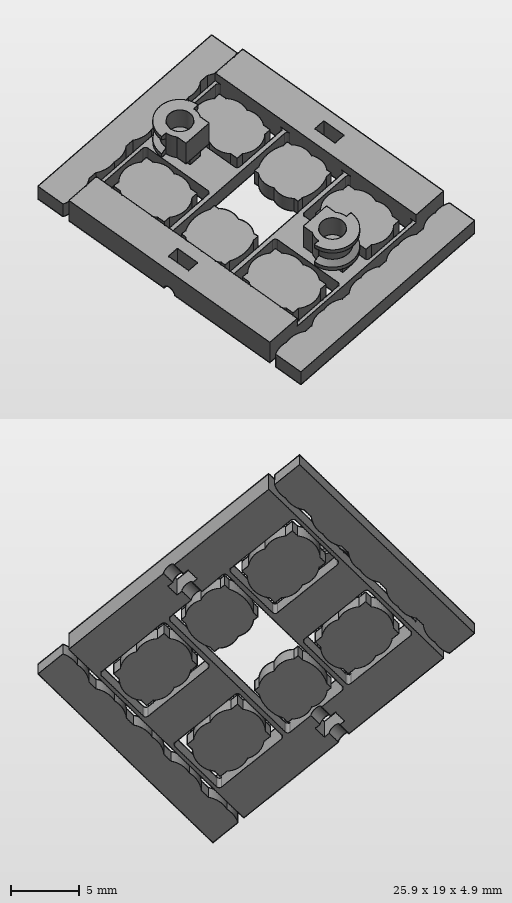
import cadquery as cq

overall_length = 25.88
overall_width = 19.0
overall_height = 4.9

frame_length = 19.77
plate_height = 1.5
rail_height = 2.4
rail_inner_y = 6.5
window_corner_radius = 0.25
end_wall = 0.28
bridge_half_width = 1.48
web_inner_x = 2.82
web_thickness = 0.35
slot_length = 2.0
slot_width = 0.98
slot_y = (rail_inner_y + overall_width / 2) / 2
groove_radius = 0.52

hook_x = 7.5
flange_radius = 2.0
core_radius = 1.5
back_radius = 1.53
flange_rim = 0.4
flange_taper = 0.3
spool_bottom = 2.45
hook_hole_radius = 1.0
hook_hole_depth = 2.0
back_reach = 1.73
back_width = 2.54
stem_width = 1.1

strip_height = 1.5
strip_root_x = 10.64
tooth_pitch = 4.06
tooth_count = 5
tooth_half_length = 1.65
tooth_peak_offset = 0.47
tooth_rise = 0.4
tooth_valley = 0.34

pad_height = 1.5
pad_x = 6.35
pad_y = 3.99
pad_width = 3.6
lobe_rise = 0.4
lobe_valley = 0.23
outer_pad_length = 5.0
outer_lobe_peak = 0.8
outer_lobe_root = 1.85
outer_end_half_width = 1.22
outer_end_rise = 0.45
middle_pad_length = 4.3
middle_lobe_peak = 0.75
middle_lobe_root = 1.73
middle_end_half_width = 1.32
middle_end_rise = 0.3


def block(x_min, x_max, y_min, y_max, z_min, z_max):
    """Axis-aligned box between the given limits."""
    return (
        cq.Workplane("XY")
        .box(x_max - x_min, y_max - y_min, z_max - z_min, centered=False)
        .translate((x_min, y_min, z_min))
    )


def make_frame_base():
    """Plate, rails, windows, slots and bottom grooves."""
    half_length = frame_length / 2
    half_width = overall_width / 2
    base = block(-half_length, half_length, -half_width, half_width, 0, plate_height)
    for side in (-1, 1):
        rail = cq.Workplane("XY").box(
            frame_length, half_width - rail_inner_y, rail_height, centered=(True, True, False)
        )
        base = base.union(rail.translate((0, side * slot_y, 0)))

    middle_window = (
        block(-web_inner_x, web_inner_x, -rail_inner_y, rail_inner_y, 0, plate_height)
        .edges("|Z")
        .fillet(window_corner_radius)
    )
    window_inner_x = web_inner_x + web_thickness
    window_outer_x = half_length - end_wall
    window_length = window_outer_x - window_inner_x
    window_width = rail_inner_y - bridge_half_width
    window_x = (window_inner_x + window_outer_x) / 2
    window_y = (rail_inner_y + bridge_half_width) / 2
    corner_windows = (
        cq.Workplane("XY")
        .rect(2 * window_x, 2 * window_y, forConstruction=True)
        .vertices()
        .rect(window_length, window_width)
        .extrude(plate_height)
        .edges("|Z")
        .fillet(window_corner_radius)
    )
    slots = (
        cq.Workplane("XY")
        .pushPoints([(0, -slot_y), (0, slot_y)])
        .rect(slot_length, slot_width)
        .extrude(rail_height)
    )
    groove = cq.Workplane("XZ").circle(groove_radius).extrude(half_width, both=True)
    return base.cut(middle_window).cut(corner_windows).cut(slots).cut(groove)


def make_hook():
    """Hook centred on the Z axis: flanges towards -X, wider round and square back towards +X."""
    rim_lower_top = spool_bottom + flange_rim
    rim_upper_bottom = overall_height - flange_rim
    spool = (
        cq.Workplane("XZ")
        .moveTo(0, spool_bottom)
        .lineTo(flange_radius, spool_bottom)
        .lineTo(flange_radius, rim_lower_top)
        .lineTo(core_radius, rim_lower_top + flange_taper)
        .lineTo(core_radius, rim_upper_bottom - flange_taper)
        .lineTo(flange_radius, rim_upper_bottom)
        .lineTo(flange_radius, overall_height)
        .lineTo(0, overall_height)
        .close()
        .revolve(360, (0, 0, 0), (0, 1, 0))
    )
    flange_side = block(-flange_radius, 0, -flange_radius, flange_radius, spool_bottom, overall_height)
    round_back = (
        cq.Workplane("XY")
        .workplane(offset=spool_bottom)
        .circle(back_radius)
        .extrude(overall_height - spool_bottom)
        .intersect(block(0, back_radius, -back_radius, back_radius, spool_bottom, overall_height))
    )
    square_back = block(0, back_reach, -back_width / 2, back_width / 2, spool_bottom, overall_height)
    stem = block(-core_radius, core_radius, -stem_width / 2, stem_width / 2, plate_height, spool_bottom)
    hole = (
        cq.Workplane("XY")
        .workplane(offset=overall_height - hook_hole_depth)
        .circle(hook_hole_radius)
        .extrude(hook_hole_depth)
    )
    return spool.intersect(flange_side).union(round_back).union(square_back).union(stem).cut(hole)


def make_frame():
    """Frame with its two mirrored hooks."""
    left_hook = make_hook().translate((-hook_x, 0, 0))
    return make_frame_base().union(left_hook).union(left_hook.mirror("YZ"))


def make_left_strip():
    """Toothed strip on the -X side."""
    half_length = overall_length / 2
    half_width = overall_width / 2
    strip = block(-half_length, -strip_root_x, -half_width, half_width, 0, strip_height)
    for index in range(tooth_count):
        tooth_y = (index - (tooth_count - 1) / 2) * tooth_pitch
        tooth = (
            cq.Workplane("XY")
            .moveTo(0, -tooth_half_length)
            .threePointArc((tooth_rise, -tooth_peak_offset), (tooth_valley, 0))
            .threePointArc((tooth_rise, tooth_peak_offset), (0, tooth_half_length))
            .close()
            .extrude(strip_height)
        )
        strip = strip.union(tooth.translate((-strip_root_x, tooth_y, 0)))
    envelope = block(-half_length, 0, -half_width, half_width, 0, strip_height)
    return strip.intersect(envelope)


def make_pad(length, lobe_peak, lobe_root, end_half_width, end_rise):
    """Rectangular pad with two lobes on each long side and one bulge on each end."""
    half_length = length / 2
    half_width = pad_width / 2
    peak_y = half_width + lobe_rise
    valley_y = half_width + lobe_valley
    end_x = half_length + end_rise
    return (
        cq.Workplane("XY")
        .moveTo(-half_length, half_width)
        .lineTo(-lobe_root, half_width)
        .threePointArc((-lobe_peak, peak_y), (0, valley_y))
        .threePointArc((lobe_peak, peak_y), (lobe_root, half_width))
        .lineTo(half_length, half_width)
        .lineTo(half_length, end_half_width)
        .threePointArc((end_x, 0), (half_length, -end_half_width))
        .lineTo(half_length, -half_width)
        .lineTo(lobe_root, -half_width)
        .threePointArc((lobe_peak, -peak_y), (0, -valley_y))
        .threePointArc((-lobe_peak, -peak_y), (-lobe_root, -half_width))
        .lineTo(-half_length, -half_width)
        .lineTo(-half_length, -end_half_width)
        .threePointArc((-end_x, 0), (-half_length, end_half_width))
        .close()
        .extrude(pad_height)
    )


def make_outer_pad():
    return make_pad(
        outer_pad_length, outer_lobe_peak, outer_lobe_root, outer_end_half_width, outer_end_rise
    )


def make_middle_pad():
    return make_pad(
        middle_pad_length, middle_lobe_peak, middle_lobe_root, middle_end_half_width, middle_end_rise
    )


frame = make_frame()

left_strip = make_left_strip()
right_strip = left_strip.mirror("YZ")

outer_pads = []
middle_pads = []
for row_y in (-pad_y, pad_y):
    for column_x in (-pad_x, pad_x):
        outer_pads.append(make_outer_pad().translate((column_x, row_y, 0)).val())
    middle_pads.append(make_middle_pad().translate((0, row_y, 0)).val())

result = cq.Compound.makeCompound(
    [frame.val(), left_strip.val(), right_strip.val(), *outer_pads, *middle_pads]
)